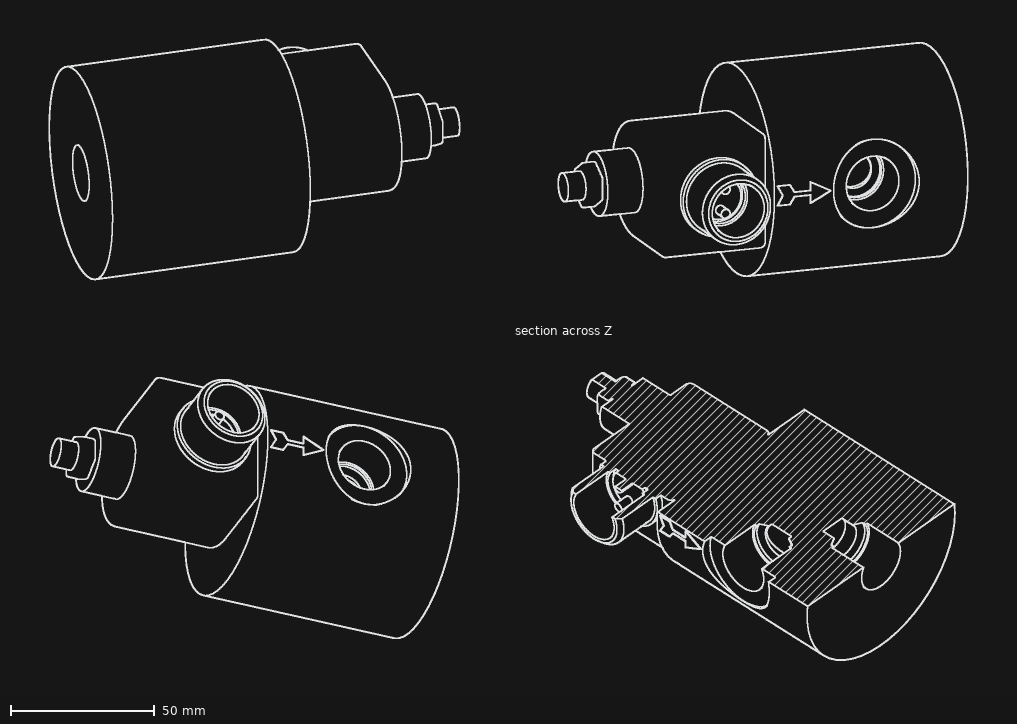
import cadquery as cq
import math


BODY_RADIUS = 37.5
BODY_LENGTH = 72.2

PORT_RADIUS = 9.8
PORT_DEPTH = 15.0
PORT_CORE_RADIUS = 9.0
PORT_CORE_DEPTH = 16.4
ORIFICE_RADIUS = 6.4
ORIFICE_DEPTH = 23.2
DRILL_CONE_ANGLE = 118.0
SIDE_PORT_Y = 34.2
SPOT_FACE_RADIUS = 16.0
SPOT_FACE_X = -33.8
GUIDE_CORE_RADIUS = 15.0

ARROW_TAIL_Y = BODY_LENGTH - 1.2
ARROW_LENGTH = 19.8
ARROW_NOTCH = 1.9
ARROW_TAIL_FLAT = 4.6
ARROW_SHAFT_START = 6.3
ARROW_HEAD_LENGTH = 7.5
ARROW_TAIL_HALF = 3.5
ARROW_SHAFT_HALF = 0.8
ARROW_HEAD_HALF = 3.8
ARROW_DEPTH = 0.3

COIL_RADIUS = 20.8
COIL_LENGTH = 39.1
COIL_SIDE_X = -30.0
COIL_FILLET = 2.0
COIL_BACK_Y = BODY_LENGTH + COIL_LENGTH

CONNECTOR_END_X = -50.0
CONNECTOR_Y = 90.5
COLLAR_RADIUS = 14.0
COLLAR_THICKNESS = 2.6
SHELL_RADIUS = 12.7
SHELL_CHAMFER_LENGTH = 1.8
SHELL_CHAMFER_WIDTH = 1.6
SOCKET_RADIUS = 9.7
SOCKET_DEPTH = 16.4
SOCKET_FLOOR_RADIUS = 8.9
SOCKET_FLOOR_DEPTH = 19.1
INSERT_RADIUS = 7.8
INSERT_HEIGHT = 1.4
PIN_RADIUS = 1.6
PIN_OFFSET = 4.4
PIN_HEIGHT = 5.5

HUB_RADIUS = 11.3
HUB_LENGTH = 13.1
NUT_ACROSS_FLATS = 14.3
NUT_THICKNESS = 5.7
NUT_FILLET = 1.1
TIP_RADIUS = 5.0
END_Y = 136.6


def cylinder_y(radius, start, end):
    """Cylinder on the Y axis between two Y positions."""
    return cq.Workplane("XZ", origin=(0, start, 0)).circle(radius).extrude(start - end)


def cylinder_x(radius, start, end, y, z=0.0):
    """Cylinder parallel to X between two X positions."""
    return cq.Workplane("YZ", origin=(start, y, z)).circle(radius).extrude(end - start)


def port_cutter():
    """Port revolved about Y: thread bore, core bore, drill cone and orifice from Y = 0."""
    cone_length = (PORT_CORE_RADIUS - ORIFICE_RADIUS) / math.tan(math.radians(DRILL_CONE_ANGLE / 2))
    profile = [
        (0, 0),
        (PORT_RADIUS, 0),
        (PORT_RADIUS, PORT_DEPTH),
        (PORT_CORE_RADIUS, PORT_DEPTH),
        (PORT_CORE_RADIUS, PORT_CORE_DEPTH),
        (ORIFICE_RADIUS, PORT_CORE_DEPTH + cone_length),
        (ORIFICE_RADIUS, ORIFICE_DEPTH),
        (0, ORIFICE_DEPTH),
    ]
    return cq.Workplane("XY").polyline(profile).close().revolve(360, (0, 0, 0), (0, 1, 0))


def side_port_cutter():
    """Spot face and port on the -X side; the orifice ends on the round core around the Y axis."""
    spot_face = cylinder_x(SPOT_FACE_RADIUS, -BODY_RADIUS, SPOT_FACE_X, SIDE_PORT_Y)
    port = port_cutter().rotate((0, 0, 0), (0, 0, 1), -90).translate((SPOT_FACE_X, SIDE_PORT_Y, 0))
    guide_core = cylinder_y(GUIDE_CORE_RADIUS, 0, BODY_LENGTH)
    return spot_face.union(port).cut(guide_core)


def arrow_cutter():
    """Arrow pointing to -Y, with a constant engraving depth in the curved side."""
    upper = [
        (0, ARROW_TAIL_HALF),
        (ARROW_TAIL_FLAT, ARROW_TAIL_HALF),
        (ARROW_SHAFT_START, ARROW_SHAFT_HALF),
        (ARROW_LENGTH - ARROW_HEAD_LENGTH, ARROW_SHAFT_HALF),
        (ARROW_LENGTH - ARROW_HEAD_LENGTH, ARROW_HEAD_HALF),
    ]
    lower = [(along, -across) for along, across in reversed(upper)]
    outline = [(ARROW_NOTCH, 0)] + upper + [(ARROW_LENGTH, 0)] + lower
    points = [(ARROW_TAIL_Y - along, across) for along, across in outline]
    prism = cq.Workplane("YZ").polyline(points).close().extrude(-BODY_RADIUS)
    return prism.cut(cylinder_y(BODY_RADIUS - ARROW_DEPTH, 0, BODY_LENGTH))


def make_body():
    body = cylinder_y(BODY_RADIUS, 0, BODY_LENGTH)
    return body.cut(port_cutter()).cut(side_port_cutter()).cut(arrow_cutter())


def make_coil():
    outline = (
        cq.Workplane("XZ", origin=(0, BODY_LENGTH, 0))
        .moveTo(COIL_SIDE_X, -COIL_RADIUS)
        .lineTo(0, -COIL_RADIUS)
        .threePointArc((COIL_RADIUS, 0), (0, COIL_RADIUS))
        .lineTo(COIL_SIDE_X, COIL_RADIUS)
        .close()
    )
    coil = outline.extrude(-COIL_LENGTH)
    return coil.edges("<X or <Y or >Y").fillet(COIL_FILLET)


def make_connector():
    collar_x = COIL_SIDE_X - COLLAR_THICKNESS
    floor_x = CONNECTOR_END_X + SOCKET_FLOOR_DEPTH
    step_x = CONNECTOR_END_X + SOCKET_DEPTH
    collar = cylinder_x(COLLAR_RADIUS, COIL_SIDE_X, collar_x, CONNECTOR_Y)
    shell = cylinder_x(SHELL_RADIUS, COIL_SIDE_X, CONNECTOR_END_X, CONNECTOR_Y)
    shell = shell.faces("<X").chamfer(SHELL_CHAMFER_LENGTH, SHELL_CHAMFER_WIDTH)
    socket = cylinder_x(SOCKET_RADIUS, step_x, CONNECTOR_END_X, CONNECTOR_Y)
    socket = socket.union(cylinder_x(SOCKET_FLOOR_RADIUS, floor_x, step_x, CONNECTOR_Y))
    connector = collar.union(shell).cut(socket)
    insert_x = floor_x - INSERT_HEIGHT
    connector = connector.union(cylinder_x(INSERT_RADIUS, floor_x, insert_x, CONNECTOR_Y))
    for z in (-PIN_OFFSET, PIN_OFFSET):
        pin = cylinder_x(PIN_RADIUS, floor_x, insert_x - PIN_HEIGHT, CONNECTOR_Y, z)
        connector = connector.union(pin)
    return connector


def make_nut(start):
    """Hexagon nut with corners on +Z and -Z and every edge rounded."""
    corner_radius = NUT_ACROSS_FLATS / 2 / math.cos(math.radians(30))
    return (
        cq.Workplane("XZ", origin=(0, start, 0))
        .polygon(6, 2 * corner_radius)
        .extrude(-NUT_THICKNESS)
        .rotate((0, 0, 0), (0, 1, 0), 90)
        .edges()
        .fillet(NUT_FILLET)
    )


def make_stem():
    hub_end = COIL_BACK_Y + HUB_LENGTH
    hub = cylinder_y(HUB_RADIUS, COIL_BACK_Y, hub_end)
    tip = cylinder_y(TIP_RADIUS, hub_end, END_Y)
    return hub.union(make_nut(hub_end)).union(tip)


result = make_body().union(make_coil()).union(make_connector()).union(make_stem())